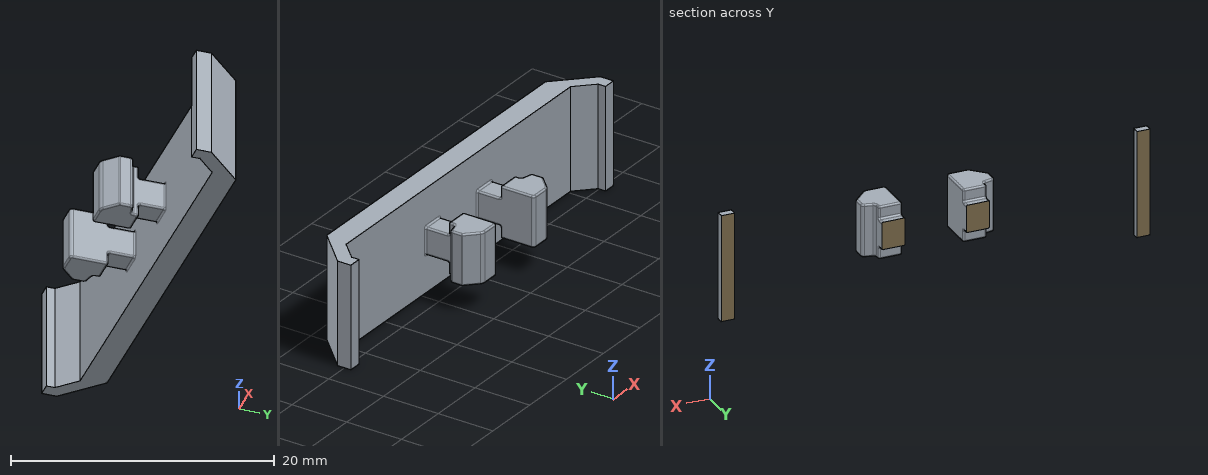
import cadquery as cq

plate_length = 35.75
plate_height = 9.0
plate_depth = 4.22
web_thickness = 2.05
lip_width = 1.1
outer_bevel = 3.0
inner_bevel = 1.5

hook_depth = 7.25
hook_inner_x = 2.55
neck_width = 1.95
neck_height = 2.35
head_depth = 4.2
head_height = 4.47
barb_root_depth = 4.75
barb_slope = 0.25
barb_overhang = 1.05
tip_bevel = 1.18

edge_radius = 0.15
base_radius = 0.15
barb_root_radius = 0.25
barb_radius = 0.3
tip_inner_radius = 0.25
tip_outer_radius = 0.57

neck_outer_x = hook_inner_x + neck_width
barb_x = neck_outer_x + barb_overhang
barb_depth = barb_root_depth + barb_slope


def make_plate():
    """Web with bevelled ends that turn into short lips."""
    end_x = plate_length / 2
    lip_inner_x = end_x - lip_width
    right_side = [
        (end_x - outer_bevel, 0),
        (end_x, -outer_bevel),
        (end_x, -plate_depth),
        (lip_inner_x, -plate_depth),
        (lip_inner_x, -web_thickness - inner_bevel),
        (lip_inner_x - inner_bevel, -web_thickness),
    ]
    left_side = [(-x, y) for x, y in reversed(right_side)]
    outline = cq.Workplane("XY").polyline(right_side + left_side).close()
    return outline.extrude(plate_height / 2, both=True)


def make_head():
    """Barbed head of the right-hand hook, with its profile corners rounded."""
    outline = [
        (hook_inner_x, -head_depth),
        (neck_outer_x, -head_depth),
        (neck_outer_x, -barb_root_depth),
        (barb_x, -barb_depth),
        (barb_x, tip_bevel - hook_depth),
        (barb_x - tip_bevel, -hook_depth),
        (hook_inner_x, -hook_depth),
    ]
    head = cq.Workplane("XY").polyline(outline).close().extrude(head_height / 2, both=True)
    rounded_corners = [
        (neck_outer_x, -barb_root_depth, barb_root_radius),
        (barb_x, -barb_depth, barb_radius),
        (hook_inner_x, -hook_depth, tip_inner_radius),
        (barb_x - tip_bevel, -hook_depth, tip_outer_radius),
    ]
    for x, y, radius in rounded_corners:
        corner_edge = cq.selectors.NearestToPointSelector((x, y, 0))
        head = head.edges(corner_edge).fillet(radius)
    return head


def make_hook():
    """Right-hand hook, rounded everywhere except at the foot of its neck."""
    neck = (
        cq.Workplane("XY")
        .moveTo(hook_inner_x, -web_thickness)
        .lineTo(neck_outer_x, -web_thickness)
        .lineTo(neck_outer_x, -barb_root_depth)
        .lineTo(hook_inner_x, -barb_root_depth)
        .close()
        .extrude(neck_height / 2, both=True)
    )
    return make_head().union(neck).edges("not >Y").fillet(edge_radius)


def round_hook_feet(body):
    """Fillet the edges where the necks meet the inner web face."""
    margin = edge_radius / 2
    x, y, z = neck_outer_x + margin, -web_thickness, neck_height / 2 + margin
    foot_region = cq.selectors.BoxSelector((-x, y - margin, -z), (x, y + margin, z))
    return body.edges(foot_region).fillet(base_radius)


right_hook = make_hook()
left_hook = right_hook.mirror("YZ")
result = round_hook_feet(make_plate().union(right_hook).union(left_hook))